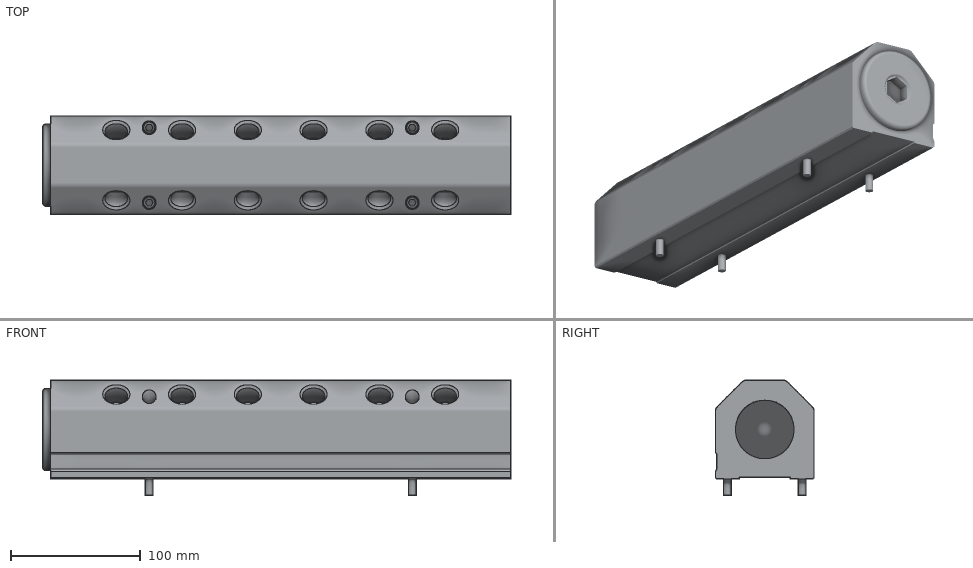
import cadquery as cq
import math

OVERALL_LENGTH = 361.7
FLANGE_THICKNESS = 6.0
BODY_LENGTH = OVERALL_LENGTH - FLANGE_THICKNESS
BODY_WIDTH = 76.3
BODY_HEIGHT = 76.3
HALF_WIDTH = BODY_WIDTH / 2
TOP_Z = BODY_HEIGHT / 2
BOTTOM_Z = -BODY_HEIGHT / 2
SHOULDER_CUT = 22.0
SHOULDER_ROUND = 5.0
FOOT_CHAMFER = 1.0

CHANNEL_WIDTH = 39.0
CHANNEL_DEPTH = 1.0

GROOVE_DEPTH = 1.0
GROOVE_TOP_Z = -17.7
GROOVE_BOTTOM_Z = -30.5
GROOVE_SLOPE_HEIGHT = 2.0
GROOVE_TOP_SLOPE_HEIGHT = 1.0

BORE_DIAMETER = 45.2
PORT_COUNT = 6
PORT_PITCH = BODY_LENGTH / (PORT_COUNT + 1)
PORT_DIAMETER = 17.5
PORT_CHAMFER = 1.8
PORT_ANGLE = 45.0

FLANGE_DIAMETER = 63.5
FLANGE_ROUND = 3.0
PLUG_SHANK_LENGTH = 25.3
PLUG_HEX_FLATS = 18.8
PLUG_HEX_DEPTH = 11.0
PLUG_COUNTERSINK_DIAMETER = 24.5

SCREW_DIAMETER = 6.0
SCREW_LENGTH = 63.0
SCREW_PROTRUSION = 12.5
SCREW_HEAD_DIAMETER = 10.0
SCREW_HEAD_HEIGHT = 6.0
SCREW_HEAD_CHAMFER = 0.7
SCREW_HEX_FLATS = 5.0
SCREW_HEX_DEPTH = 3.0
SCREW_OFFSET_Y = 29.0
COUNTERBORE_DIAMETER = 10.5
SCREW_TIP_Z = BOTTOM_Z - SCREW_PROTRUSION
SCREW_SEAT_Z = SCREW_TIP_Z + SCREW_LENGTH

HEX_SIDES = 6
HEX_HALF_ANGLE = 180 / HEX_SIDES
HEX_CORNER_RATIO = 1 / math.cos(math.radians(HEX_HALF_ANGLE))

PORT_XS = [(i + 1) * PORT_PITCH for i in range(PORT_COUNT)]
SCREW_XS = [PORT_XS[0] + PORT_PITCH / 2, PORT_XS[-1] - PORT_PITCH / 2]
SCREW_PLACES = [(x, y) for x in SCREW_XS for y in (-SCREW_OFFSET_Y, SCREW_OFFSET_Y)]


def cylinder(diameter, length, start, direction):
    return cq.Solid.makeCylinder(diameter / 2, length, cq.Vector(*start), cq.Vector(*direction))


def housing_bar():
    """Bar with sloped shoulders, a channel underneath and chamfered feet."""
    shoulder_y = HALF_WIDTH - SHOULDER_CUT
    shoulder_z = TOP_Z - SHOULDER_CUT
    foot_y = CHANNEL_WIDTH / 2
    positive_half = [
        (foot_y, BOTTOM_Z + CHANNEL_DEPTH),
        (foot_y, BOTTOM_Z),
        (HALF_WIDTH - FOOT_CHAMFER, BOTTOM_Z),
        (HALF_WIDTH, BOTTOM_Z + FOOT_CHAMFER),
        (HALF_WIDTH, shoulder_z),
        (shoulder_y, TOP_Z),
    ]
    negative_half = [(-y, z) for y, z in reversed(positive_half)]
    bar = cq.Workplane("YZ").polyline(positive_half + negative_half).close().extrude(BODY_LENGTH)
    reach = 0.5
    for z in (shoulder_z, TOP_Z):
        band = cq.selectors.BoxSelector(
            (0, -HALF_WIDTH - reach, z - reach),
            (BODY_LENGTH, HALF_WIDTH + reach, z + reach),
        )
        bar = bar.edges("|X").edges(band).fillet(SHOULDER_ROUND)
    return bar


def side_groove():
    """Groove in the -Y side with sloped upper and lower walls."""
    side_y = -HALF_WIDTH
    floor_y = side_y + GROOVE_DEPTH
    outline = [
        (side_y, GROOVE_TOP_Z),
        (floor_y, GROOVE_TOP_Z - GROOVE_TOP_SLOPE_HEIGHT),
        (floor_y, GROOVE_BOTTOM_Z),
        (side_y, GROOVE_BOTTOM_Z - GROOVE_SLOPE_HEIGHT),
    ]
    return cq.Workplane("YZ").polyline(outline).close().extrude(BODY_LENGTH)


def port(x, side):
    """Chamfered hole from a sloped shoulder to the bore axis; side is -1 or +1."""
    tilt = math.radians(PORT_ANGLE)
    outward = (0, side * math.sin(tilt), math.cos(tilt))
    face_distance = (HALF_WIDTH + TOP_Z - SHOULDER_CUT) * math.cos(tilt)
    hole = cylinder(PORT_DIAMETER, face_distance, (x, 0, 0), outward)
    chamfer_start = face_distance - PORT_CHAMFER
    chamfer = cq.Solid.makeCone(
        PORT_DIAMETER / 2,
        PORT_DIAMETER / 2 + PORT_CHAMFER,
        PORT_CHAMFER,
        cq.Vector(*outward) * chamfer_start,
        cq.Vector(*outward),
    ).translate(cq.Vector(x, 0, 0))
    return hole.fuse(chamfer)


def make_housing():
    housing = housing_bar().cut(side_groove())
    housing = housing.cut(cq.Workplane(cylinder(BORE_DIAMETER, BODY_LENGTH, (0, 0, 0), (1, 0, 0))))
    for x in PORT_XS:
        for side in (-1, 1):
            housing = housing.cut(cq.Workplane(port(x, side)))
    for x, y in SCREW_PLACES:
        clearance = cylinder(SCREW_DIAMETER, BODY_HEIGHT, (x, y, BOTTOM_Z), (0, 0, 1))
        counterbore = cylinder(COUNTERBORE_DIAMETER, TOP_Z - SCREW_SEAT_Z, (x, y, SCREW_SEAT_Z), (0, 0, 1))
        housing = housing.cut(cq.Workplane(clearance)).cut(cq.Workplane(counterbore))
    return housing


def make_plug():
    """Flanged plug that closes the -X end of the bore, with a hex socket."""
    face_x = -FLANGE_THICKNESS
    flange = (
        cq.Workplane("YZ", origin=(face_x, 0, 0))
        .circle(FLANGE_DIAMETER / 2)
        .extrude(FLANGE_THICKNESS)
        .faces("<X")
        .edges()
        .fillet(FLANGE_ROUND)
    )
    shank = cylinder(BORE_DIAMETER, PLUG_SHANK_LENGTH, (0, 0, 0), (1, 0, 0))
    hex_corners = PLUG_HEX_FLATS * HEX_CORNER_RATIO
    socket = (
        cq.Workplane("YZ", origin=(face_x, 0, 0))
        .transformed(rotate=(0, 0, HEX_HALF_ANGLE))
        .polygon(HEX_SIDES, hex_corners)
        .extrude(PLUG_HEX_DEPTH)
    )
    countersink_depth = (PLUG_COUNTERSINK_DIAMETER - hex_corners) / 2
    countersink = cq.Solid.makeCone(
        PLUG_COUNTERSINK_DIAMETER / 2,
        hex_corners / 2,
        countersink_depth,
        cq.Vector(face_x, 0, 0),
        cq.Vector(1, 0, 0),
    )
    return flange.union(cq.Workplane(shank)).cut(socket).cut(cq.Workplane(countersink))


def make_screw(x, y):
    """Socket head cap screw standing along Z, tip down."""
    shank = cq.Workplane("XY", origin=(x, y, SCREW_TIP_Z)).circle(SCREW_DIAMETER / 2).extrude(SCREW_LENGTH)
    head = (
        cq.Workplane("XY", origin=(x, y, SCREW_SEAT_Z))
        .circle(SCREW_HEAD_DIAMETER / 2)
        .extrude(SCREW_HEAD_HEIGHT)
        .faces(">Z")
        .edges()
        .chamfer(SCREW_HEAD_CHAMFER)
    )
    socket = (
        cq.Workplane("XY", origin=(x, y, SCREW_SEAT_Z + SCREW_HEAD_HEIGHT))
        .polygon(HEX_SIDES, SCREW_HEX_FLATS * HEX_CORNER_RATIO)
        .extrude(-SCREW_HEX_DEPTH)
    )
    return shank.union(head).cut(socket)


housing = make_housing()
plug = make_plug()
screws = [make_screw(x, y).val() for x, y in SCREW_PLACES]

result = cq.Compound.makeCompound([housing.val(), plug.val(), *screws])